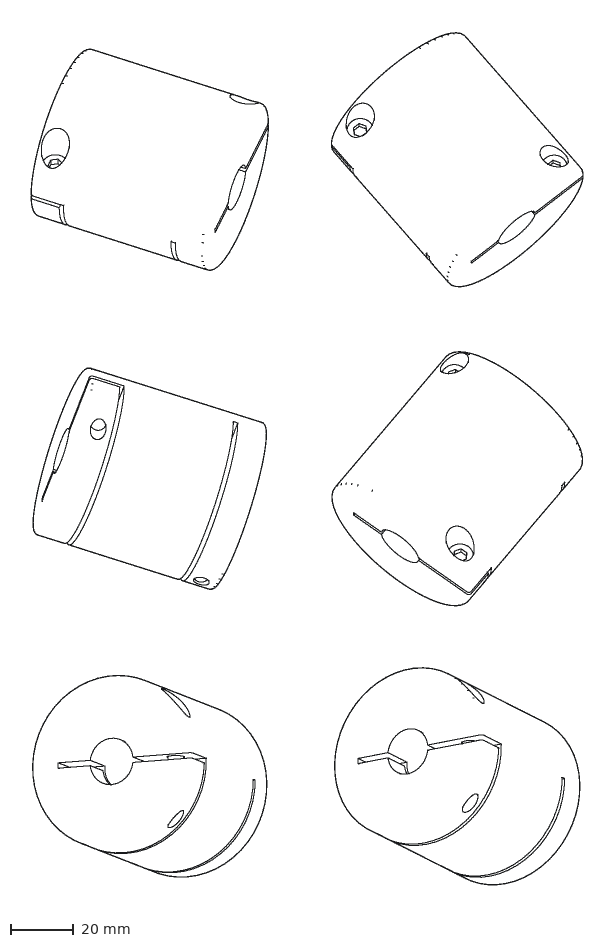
import cadquery as cq


LENGTH = 60.0
OUTER_DIAMETER = 56.0
BORE_DIAMETER = 15.0
RIM_FILLET = 1.0
MIDDLE_LENGTH = 20.75

CLAMP_WIDTH = 10.0
SLIT_WIDTH = 1.5
SLOT_HEIGHT = 1.75
SLOT_REACH = 18.65

SCREW_FROM_END = 5.5
SCREW_OFFSET = 20.0
SEAT_HEIGHT = 5.0
COUNTERBORE_DIAMETER = 9.0
CLEARANCE_DIAMETER = 5.5

THREAD_DIAMETER = 5.0
SHANK_LENGTH = 20.0
HEAD_DIAMETER = 8.5
HEAD_HEIGHT = THREAD_DIAMETER
HEAD_FILLET = 0.7
SOCKET_ACROSS_FLATS = 4.0
SOCKET_DEPTH = HEAD_HEIGHT / 2

OUTER_RADIUS = OUTER_DIAMETER / 2
END_X = -LENGTH / 2
MIDDLE_X = -MIDDLE_LENGTH / 2
SCREW_X = END_X + SCREW_FROM_END
SLIT_X = END_X + CLAMP_WIDTH
HEAD_TOP = SEAT_HEIGHT + HEAD_HEIGHT


def ring(start_x, length):
    """A length of the round body with its bore; the seam of its round faces runs along the bottom."""
    plane = cq.Plane(origin=(start_x, 0, 0), xDir=(0, 0, -1), normal=(1, 0, 0))
    return cq.Workplane(plane).circle(OUTER_RADIUS).circle(BORE_DIAMETER / 2).extrude(length)


def screw_cylinder(diameter, bottom, top):
    """An upright cylinder on the axis of the -X screw."""
    axis = cq.Workplane("XY", origin=(SCREW_X, -SCREW_OFFSET, bottom))
    return axis.circle(diameter / 2).extrude(top - bottom)


def clamp_slot():
    """Level slot from the end face to the slit, open on the screw side."""
    length = CLAMP_WIDTH + SLIT_WIDTH
    width = OUTER_RADIUS + SLOT_REACH
    slot = cq.Workplane("XY").box(length, width, SLOT_HEIGHT, centered=(False, False, True))
    return slot.translate((END_X, -OUTER_RADIUS, 0))


def clamp_slit():
    """Crosswise slit that parts the lower half of the clamp from the rest of the body."""
    slit = cq.Workplane("XY").box(SLIT_WIDTH, OUTER_DIAMETER, OUTER_RADIUS, centered=(False, True, False))
    return slit.translate((SLIT_X, 0, -OUTER_RADIUS))


def screw_hole():
    """Counterbore, clearance hole down to the slot, and threaded hole out through the lower half."""
    counterbore = screw_cylinder(COUNTERBORE_DIAMETER, SEAT_HEIGHT, OUTER_RADIUS)
    clearance = screw_cylinder(CLEARANCE_DIAMETER, 0, SEAT_HEIGHT)
    thread = screw_cylinder(THREAD_DIAMETER, -OUTER_RADIUS, 0)
    return counterbore.union(clearance).union(thread)


def clamp_end():
    """The -X end of the body, with its rounded rim and clamp."""
    end = ring(END_X, MIDDLE_X - END_X)
    rim = end.faces("<X").edges(cq.selectors.RadiusNthSelector(-1))
    end = rim.fillet(RIM_FILLET)
    return end.cut(clamp_slot()).cut(clamp_slit()).cut(screw_hole())


def clamp_screw():
    """Socket head screw of the -X clamp."""
    head = screw_cylinder(HEAD_DIAMETER, SEAT_HEIGHT, HEAD_TOP)
    head = head.faces(">Z").edges().fillet(HEAD_FILLET)
    shank = screw_cylinder(THREAD_DIAMETER, SEAT_HEIGHT - SHANK_LENGTH, SEAT_HEIGHT)
    socket = (
        cq.Workplane("XY", origin=(SCREW_X, -SCREW_OFFSET, HEAD_TOP))
        .polygon(6, SOCKET_ACROSS_FLATS, circumscribed=True)
        .extrude(-SOCKET_DEPTH)
    )
    return head.union(shank).cut(socket)


def at_both_ends(shape):
    """The shape at the -X end, and its copy turned half a turn about Z to the +X end."""
    return [shape.rotate((0, 0, 0), (0, 0, 1), angle) for angle in (0, 180)]


body = ring(MIDDLE_X, MIDDLE_LENGTH)
for end in at_both_ends(clamp_end()):
    body = body.union(end, clean=False)

screws = [screw.val() for screw in at_both_ends(clamp_screw())]

result = cq.Compound.makeCompound([body.val(), *screws])